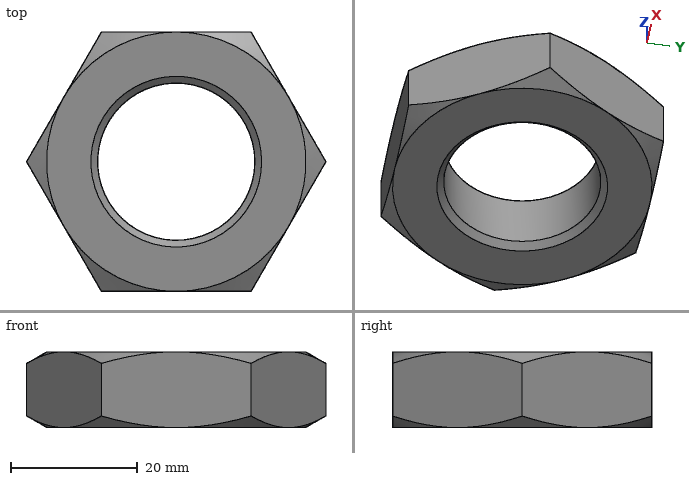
import cadquery as cq
import math

across_corners = 47.35
thickness = 12.0
bore_diameter = 24.8
countersink_diameter = 27.0
corner_chamfer_angle = 30.0
countersink_depth = (countersink_diameter - bore_diameter) / 2

corner_radius = across_corners / 2
face_radius = corner_radius * math.cos(math.radians(30))
corner_drop = (corner_radius - face_radius) * math.tan(math.radians(corner_chamfer_angle))
half_thickness = thickness / 2


def hexagon_body():
    return cq.Workplane("XY").polygon(6, across_corners).extrude(half_thickness, both=True)


def chamfer_envelope():
    """Round blank whose conical ends cut back the corners of the hexagon."""
    profile = [
        (0, -half_thickness),
        (face_radius, -half_thickness),
        (corner_radius, corner_drop - half_thickness),
        (corner_radius, half_thickness - corner_drop),
        (face_radius, half_thickness),
        (0, half_thickness),
    ]
    return cq.Workplane("XZ").polyline(profile).close().revolve(360, (0, 0), (0, 1))


def countersunk_bore():
    """Through bore with a conical lead-in at each end."""
    bore_radius = bore_diameter / 2
    mouth_radius = countersink_diameter / 2
    profile = [
        (0, -half_thickness),
        (mouth_radius, -half_thickness),
        (bore_radius, countersink_depth - half_thickness),
        (bore_radius, half_thickness - countersink_depth),
        (mouth_radius, half_thickness),
        (0, half_thickness),
    ]
    return cq.Workplane("XZ").polyline(profile).close().revolve(360, (0, 0), (0, 1))


result = hexagon_body().intersect(chamfer_envelope()).cut(countersunk_bore())